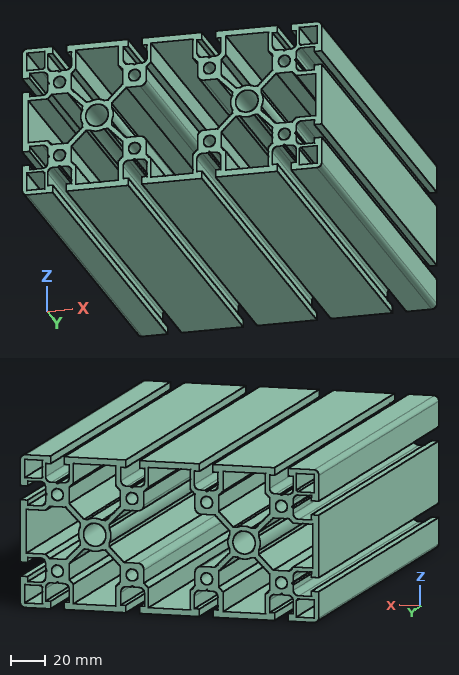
import cadquery as cq

WIDTH = 180.0
LENGTH = 250.0
HEIGHT = 90.0
PITCH = HEIGHT / 2
CORNER_RADIUS = 3.0
SKIN = 3.8

SLOT_OPENING = 8.2
SLOT_LIP = 4.5
SLOT_WIDTH = 14.2
SLOT_FILLET = 3.2
OUTER_SLOT_WALL = 2.5
INNER_SLOT_WALL = 2.8
INNER_SLOT_SHIFT = 0.38
GROOVE_WIDTH = 1.8
GROOVE_DEPTH = 0.8

BOSS_SIDE = SLOT_WIDTH
BOSS_RADIUS = 3.8
SCREW_HOLE = 7.0
SLOT_DEPTH = (PITCH - BOSS_SIDE) / 2

HUB_SQUARE = 17.5
HUB_DIAMETER = 19.5
HUB_HOLE = 13.5
ARM_THICKNESS = 3.2

BOX_WALL = 2.8
BOX_SIDE = 10.8
BOX_CHAMFER = 1.0

SIDES = (-1, 1)
BOSS_OFFSET = PITCH / 2
HUB_CENTERS = [(side * PITCH, 0) for side in SIDES]
OUTER_BOSSES = [(sx * (PITCH + BOSS_OFFSET), sz * BOSS_OFFSET) for sx in SIDES for sz in SIDES]
INNER_BOSSES = [(sx * (PITCH - BOSS_OFFSET), sz * BOSS_OFFSET) for sx in SIDES for sz in SIDES]


def section():
    """Sketch plane of the profile: sketch axes are X and Z."""
    return cq.Workplane("XZ", origin=(0, LENGTH / 2, 0))


def bars(width, height, centers):
    return section().pushPoints(centers).rect(width, height).extrude(LENGTH)


def rods(diameter, centers):
    return section().pushPoints(centers).circle(diameter / 2).extrude(LENGTH)


def prism(outline):
    return section().polyline(outline).close().extrude(LENGTH)


def turned(solid, angle):
    """Solid turned about the Y axis."""
    return solid.rotate((0, 0, 0), (0, 1, 0), angle)


def edge_towards_middle(bar, x, z):
    """The long edge of a square bar at (x, z) that is nearest the profile centre."""
    x_side = "<X" if x > 0 else ">X"
    z_side = "<Z" if z > 0 else ">Z"
    return bar.faces(x_side).edges(z_side)



def on_top_and_bottom(slot_solid, bosses, shift=0):
    """Copies for the slots above and below the given bosses, shifted towards X = 0."""
    copies = []
    for x, z in bosses:
        side_x = 1 if x > 0 else -1
        side_z = 1 if z > 0 else -1
        copy = turned(slot_solid, 0 if z > 0 else 180)
        copies.append(copy.translate((x - side_x * shift, 0, side_z * HEIGHT / 2)))
    return copies


def on_ends(slot_solid):
    """Copies for the slots in the -X and +X faces."""
    copies = []
    for x, z in OUTER_BOSSES:
        side_x = 1 if x > 0 else -1
        copies.append(turned(slot_solid, side_x * 90).translate((side_x * WIDTH / 2, 0, z)))
    return copies


def slot_housing(wall):
    """Material around one slot, tapering at 45 degrees onto the screw boss."""
    half_width = SLOT_WIDTH / 2 + wall
    half_foot = BOSS_SIDE / 2
    rim = -SKIN / 2
    foot = -SLOT_DEPTH - (half_width - half_foot)
    return prism([
        (-half_width, rim),
        (-half_width, -SLOT_DEPTH),
        (-half_foot, foot),
        (half_foot, foot),
        (half_width, -SLOT_DEPTH),
        (half_width, rim),
    ])


def slot_cavity():
    """Opening and wide chamber of one slot."""
    opening = bars(SLOT_OPENING, 2 * SLOT_LIP, [(0, 0)])
    chamber_center = (0, -(SLOT_LIP + SLOT_DEPTH) / 2)
    chamber = bars(SLOT_WIDTH, SLOT_DEPTH - SLOT_LIP, [chamber_center])
    return opening.union(chamber.edges("|Y and <Z").fillet(SLOT_FILLET))


def floor_groove():
    return prism([
        (-GROOVE_WIDTH / 2, -SLOT_DEPTH),
        (GROOVE_WIDTH / 2, -SLOT_DEPTH),
        (0, -SLOT_DEPTH - GROOVE_DEPTH),
    ])


def outer_skin():
    outside = bars(WIDTH, HEIGHT, [(0, 0)]).edges("|Y").fillet(CORNER_RADIUS)
    return outside.cut(bars(WIDTH - 2 * SKIN, HEIGHT - 2 * SKIN, [(0, 0)]))


def screw_bosses():
    """Square bosses; the inner ones are rounded towards the middle chamber."""
    solid = bars(BOSS_SIDE, BOSS_SIDE, OUTER_BOSSES)
    for x, z in INNER_BOSSES:
        boss = bars(BOSS_SIDE, BOSS_SIDE, [(x, z)])
        solid = solid.union(edge_towards_middle(boss, x, z).fillet(BOSS_RADIUS))
    return solid


def core():
    """Hubs joined to their four bosses by diagonal arms."""
    solid = bars(HUB_SQUARE, HUB_SQUARE, HUB_CENTERS).union(rods(HUB_DIAMETER, HUB_CENTERS))
    arm_span = 2 * BOSS_OFFSET * 2 ** 0.5
    arm = bars(arm_span, ARM_THICKNESS, [(0, 0)])
    for x, z in HUB_CENTERS:
        for angle in (45, -45):
            solid = solid.union(turned(arm, angle).translate((x, 0, z)))
    return solid


def corner_centers(side, inset):
    """Centres of square bars in the four corners, set in from the outside faces."""
    x = WIDTH / 2 - inset - side / 2
    z = HEIGHT / 2 - inset - side / 2
    return [(sx * x, sz * z) for sx in SIDES for sz in SIDES]


def corner_fill():
    """Solid corners reaching from inside the skin to the slot floors."""
    inset = SKIN / 2
    side = SLOT_DEPTH - inset
    return bars(side, side, corner_centers(side, inset))


def corner_hollows():
    hollows = []
    for x, z in corner_centers(BOX_SIDE, BOX_WALL):
        hollow = bars(BOX_SIDE, BOX_SIDE, [(x, z)])
        hollows.append(edge_towards_middle(hollow, x, z).chamfer(BOX_CHAMFER))
    return hollows


result = outer_skin().union(screw_bosses()).union(core()).union(corner_fill())
outer_housing = slot_housing(OUTER_SLOT_WALL)
housings = on_top_and_bottom(outer_housing, OUTER_BOSSES) + on_ends(outer_housing)
housings += on_top_and_bottom(slot_housing(INNER_SLOT_WALL), INNER_BOSSES)
for housing in housings:
    result = result.union(housing)

cavity = slot_cavity()
groove = floor_groove()
cuts = on_top_and_bottom(cavity, OUTER_BOSSES) + on_ends(cavity)
cuts += on_top_and_bottom(cavity, INNER_BOSSES, INNER_SLOT_SHIFT)
cuts += on_top_and_bottom(groove, OUTER_BOSSES + INNER_BOSSES) + on_ends(groove)
for cut in cuts + corner_hollows():
    result = result.cut(cut)

result = result.cut(rods(SCREW_HOLE, OUTER_BOSSES + INNER_BOSSES))
result = result.cut(rods(HUB_HOLE, HUB_CENTERS))